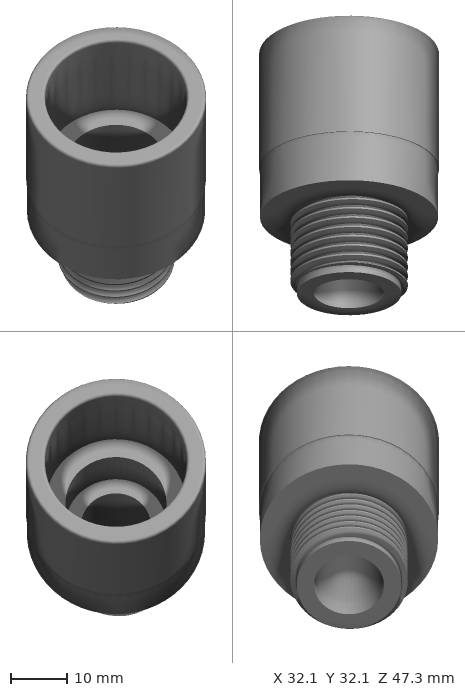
import cadquery as cq
import math

height = 47.3

spigot_diameter = 32.1
collar_diameter = 31.8
shoulder_z = 15.0
spigot_start_z = 24.5

socket_mouth_diameter = 25.3
socket_floor_diameter = 24.97
socket_depth = 19.3
stop_bore_diameter = 18.0
through_bore_diameter = 12.5
rim_round = 0.5

thread_core_diameter = 18.65
thread_crest_diameter = 20.95
thread_flank_half_angle = 27.5
thread_start_z = 1.35
thread_turns = 7.5
thread_pitch = (shoulder_z - thread_start_z) / thread_turns
first_crest_z = 1.5
root_overlap = 0.1

threaded_wall = (thread_core_diameter - through_bore_diameter) / 2
stop_bore_floor_z = shoulder_z + threaded_wall


def cylinder(diameter, bottom_z, top_z):
    """Solid cylinder on the Z axis between two heights."""
    return cq.Workplane("XY", origin=(0, 0, bottom_z)).circle(diameter / 2).extrude(top_z - bottom_z)


def make_body():
    """Stepped outside: threaded core, collar and spigot."""
    core = cylinder(thread_core_diameter, 0, shoulder_z)
    collar = cylinder(collar_diameter, shoulder_z, spigot_start_z)
    spigot = cylinder(spigot_diameter, spigot_start_z, height)
    return core.union(collar).union(spigot)


def helix_at(radius, start_z, length):
    """Right-hand helix of the thread pitch that starts on the +X side."""
    helix = cq.Wire.makeHelix(thread_pitch, length, radius)
    return helix.translate(cq.Vector(0, 0, start_z))


def make_thread():
    """Helical ridge, cut off flat at its lower end and at the shoulder."""
    core_radius = thread_core_diameter / 2
    crest_radius = thread_crest_diameter / 2
    base_radius = core_radius - root_overlap
    flank_slope = math.tan(math.radians(thread_flank_half_angle))
    flank_run = (crest_radius - core_radius) * flank_slope

    crest_half_width = (thread_pitch - 2 * flank_run) / 4
    base_half_width = crest_half_width + (crest_radius - base_radius) * flank_slope

    helix_start_z = first_crest_z - thread_pitch
    helix_length = shoulder_z + thread_pitch - helix_start_z
    profile = [
        (base_radius, -base_half_width),
        (crest_radius, -crest_half_width),
        (crest_radius, crest_half_width),
        (base_radius, base_half_width),
    ]
    corner_helices = [helix_at(radius, helix_start_z + offset, helix_length) for radius, offset in profile]

    following_helices = corner_helices[1:] + corner_helices[:1]
    faces = [
        cq.Face.makeRuledSurface(helix, following)
        for helix, following in zip(corner_helices, following_helices)
    ]
    for end in (0, 1):
        corners = [helix.positionAt(end) for helix in corner_helices]
        faces.append(cq.Face.makeFromWires(cq.Wire.makePolygon(corners, close=True)))

    ridge = cq.Workplane(obj=cq.Solid.makeSolid(cq.Shell.makeShell(faces)))
    return ridge.intersect(cylinder(collar_diameter, thread_start_z, shoulder_z), clean=False)


def make_bore():
    """Tapered pipe socket, stop bore and through bore as one cutting tool."""
    socket = (
        cq.Workplane("XY", origin=(0, 0, height - socket_depth))
        .circle(socket_floor_diameter / 2)
        .workplane(offset=socket_depth)
        .circle(socket_mouth_diameter / 2)
        .loft()
    )
    stop_bore = cylinder(stop_bore_diameter, stop_bore_floor_z, height)
    through_bore = cylinder(through_bore_diameter, 0, height)
    return socket.union(stop_bore).union(through_bore)


shell = make_body().cut(make_bore()).faces(">Z").edges().fillet(rim_round)

result = shell.union(make_thread(), clean=False).solids()